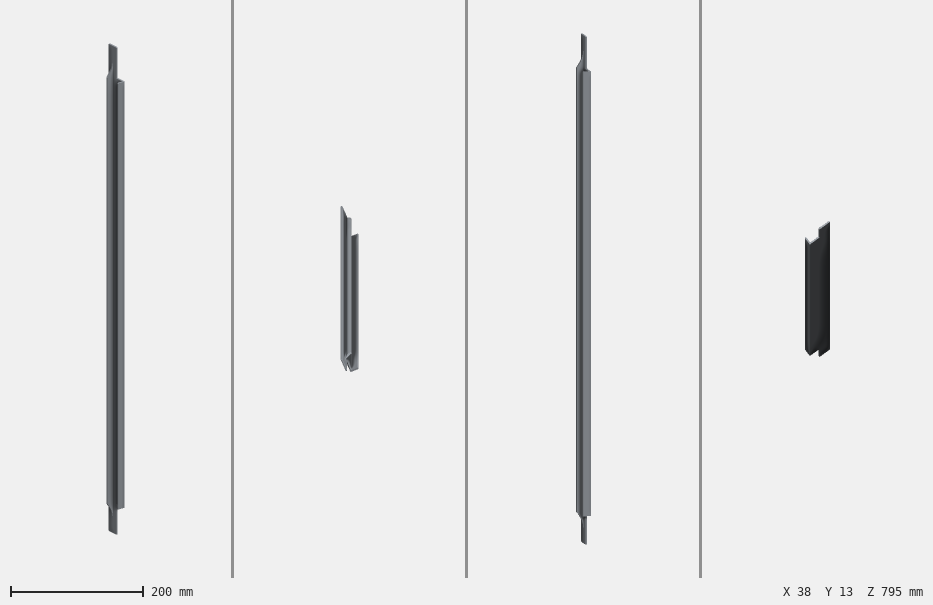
import cadquery as cq
import math

length = 795.0
width = 38.0
depth = 13.0
wall = 2.5
edge_radius = 1.0

strip_width = 20.0
notch_length = 50.0

rib_offset = 9.25
rib_thickness = 2.25
run_out_radius = 40.0

barb_height = 1.25
barb_start = 5.0
barb_crest_start = 7.5
barb_crest_end = 9.5
barb_lead_in = 0.8

half_length = length / 2
flange_half_length = half_length - notch_length
flange_length = 2 * flange_half_length
flange_inner_x = width - wall


def make_plate(x_size, z_size):
    """Plate of wall thickness from X = 0, with its back face on Y = 0 and centred on Z = 0."""
    return cq.Workplane("XY").box(x_size, wall, z_size, centered=(False, False, True)).translate((0, -wall, 0))


def make_web():
    """Notched web with rounded strip corners and a rounded front outline."""
    strip = make_plate(strip_width, length).edges("|Y").fillet(edge_radius)
    wide_part = make_plate(flange_inner_x, flange_length)
    return strip.union(wide_part).faces("<Y").edges().fillet(edge_radius)


def make_flange():
    """Side wall along the +X edge with rounded corners and a filleted root."""
    return (
        cq.Workplane("XY", origin=(0, 0, -flange_half_length))
        .moveTo(flange_inner_x - edge_radius, 0)
        .lineTo(width - edge_radius, 0)
        .tangentArcPoint((edge_radius, -edge_radius))
        .lineTo(width, edge_radius - depth)
        .tangentArcPoint((-edge_radius, -edge_radius))
        .lineTo(flange_inner_x + edge_radius, -depth)
        .tangentArcPoint((-edge_radius, edge_radius))
        .lineTo(flange_inner_x, -wall - edge_radius)
        .tangentArcPoint((-edge_radius, edge_radius))
        .close()
        .extrude(flange_length)
    )


def make_rib():
    """Barbed rib, full depth along the flange length, with a tangent arc run-out at each end."""
    arc_centre_y = -wall - run_out_radius
    run_out_length = math.sqrt(run_out_radius**2 - (arc_centre_y + depth) ** 2)
    rib_half_length = flange_half_length + run_out_length
    crest_x = rib_offset - barb_height
    rib_inner_x = rib_offset + rib_thickness

    profile = [
        (rib_offset, 0),
        (rib_offset, -barb_start),
        (crest_x, -barb_crest_start),
        (crest_x, -barb_crest_end),
        (crest_x + barb_lead_in, -depth),
        (rib_inner_x, -depth),
        (rib_inner_x, 0),
    ]
    rib = (
        cq.Workplane("XY", origin=(0, 0, -rib_half_length))
        .polyline(profile)
        .close()
        .extrude(2 * rib_half_length)
    )
    run_out_cut = (
        cq.Workplane("YZ", origin=(0, arc_centre_y, rib_half_length))
        .circle(run_out_radius)
        .extrude(width)
    )
    return rib.cut(run_out_cut).cut(run_out_cut.mirror("XY"))


result = make_web().union(make_flange()).union(make_rib())